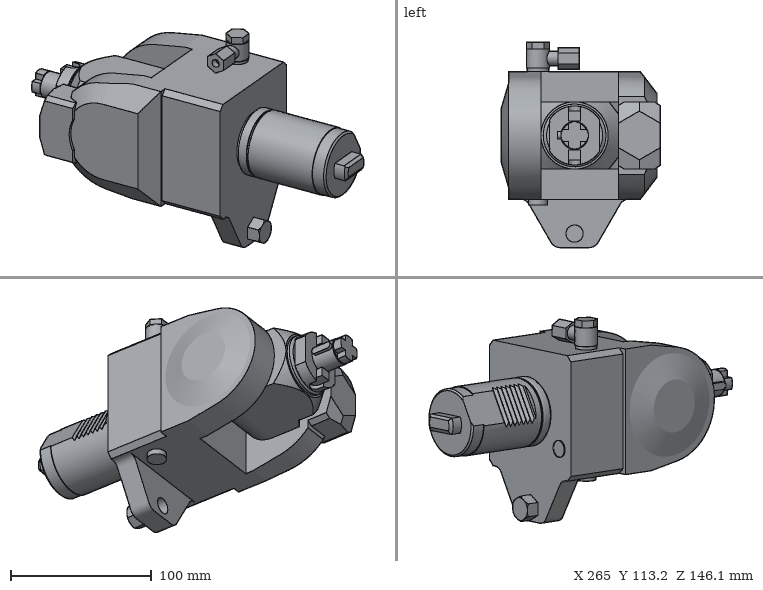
import cadquery as cq
import math


body_half_z = 45.3
body_y_plus = 44.3
body_y_minus = -45.0
body_length = 48.5
body_chamfer = 4.0

pivot_x = -89.9
fork_radius = 41.5
fork_slope = math.radians(10)
fork_y_plus = 47.0
fork_y_minus = -46.6

dome_y = 52.2
dome_base_radius = 37.0
dome_top_radius = 19.0

hood_y = -58.5
hood_flat_half_z = 29.7
hood_flat_end_x = -60.5
hood_cut_x = -120.9

head_front_x = -141.5
head_half_z = 23.9
head_y_plus = 23.9
head_y_minus = -31.0
head_overlap = 0.3
head_cone_slope = 0.9

knob_front_x = -141.0
knob_back_x = -113.5
knob_y_outer = -61.0
knob_chamfer_z = 2.7
knob_chamfer_y = 4.2
knob_face_slope = math.radians(20)
knob_seat_radius = 26.5

shank_radius = 25.0
fitting_x = -29.7
fitting_y = 26.0


def x_cylinder(radius, start, end):
    """Cylinder about the X axis between two x positions."""
    return cq.Workplane("YZ").workplane(offset=start).circle(radius).extrude(end - start)


def box(x_range, y_range, z_range):
    """Box given by its limits along each axis."""
    lows, highs = zip(x_range, y_range, z_range)
    size = [high - low for low, high in zip(lows, highs)]
    return cq.Workplane("XY").box(*size, centered=False).translate(lows)


def prism_along_y(outline, y_low, y_high):
    """Extrude a closed XZ outline between two y positions."""
    return outline.extrude(y_high - y_low).translate((0, y_high, 0))


def hexagon(workplane, corner_radius, first_angle):
    """Regular hexagon whose first corner lies at the given angle in degrees."""
    angles = [math.radians(first_angle + 60 * i) for i in range(6)]
    corners = [(corner_radius * math.cos(a), corner_radius * math.sin(a)) for a in angles]
    return workplane.polyline(corners).close()


def make_body():
    block = box((-body_length, 0), (body_y_minus, body_y_plus), (-body_half_z, body_half_z))
    return block.edges("|X").chamfer(body_chamfer)


def fork_outline():
    tangent_x = pivot_x - fork_radius * math.sin(fork_slope)
    tangent_z = fork_radius * math.cos(fork_slope)
    flat_x = tangent_x + (body_half_z - tangent_z) / math.tan(fork_slope)
    return (
        cq.Workplane("XZ")
        .moveTo(-body_length, -body_half_z)
        .lineTo(flat_x, -body_half_z)
        .lineTo(tangent_x, -tangent_z)
        .threePointArc((pivot_x - fork_radius, 0), (tangent_x, tangent_z))
        .lineTo(flat_x, body_half_z)
        .lineTo(-body_length, body_half_z)
        .close()
    )


def make_hood():
    depth = fork_y_minus - hood_y
    cone = (
        cq.Workplane("XZ", origin=(pivot_x, fork_y_minus, 0))
        .circle(body_half_z)
        .workplane(offset=depth)
        .circle(hood_flat_half_z)
        .loft()
    )
    base_length = -body_length - pivot_x
    top_length = hood_flat_end_x - pivot_x
    wedge = (
        cq.Workplane("XZ", origin=(pivot_x, fork_y_minus, 0))
        .center(base_length / 2, 0)
        .rect(base_length, 2 * body_half_z)
        .workplane(offset=depth)
        .center((top_length - base_length) / 2, 0)
        .rect(top_length, 2 * hood_flat_half_z)
        .loft()
    )
    front_half = box((pivot_x - fork_radius, pivot_x), (hood_y, fork_y_minus), (-body_half_z, body_half_z))
    envelope = prism_along_y(fork_outline(), hood_y, fork_y_minus)
    return cone.intersect(front_half).union(wedge).intersect(envelope)


def make_fork():
    fork = prism_along_y(fork_outline(), fork_y_minus, fork_y_plus).union(make_hood())
    pocket_wall_x = pivot_x + head_half_z - head_overlap
    pocket = box(
        (pivot_x - fork_radius, pocket_wall_x), (head_y_minus, head_y_plus), (-body_half_z, body_half_z)
    )
    knob_clearance = box(
        (pivot_x - fork_radius, hood_cut_x), (hood_y, head_y_minus), (-body_half_z, body_half_z)
    )
    dome = (
        cq.Workplane("XZ", origin=(pivot_x, fork_y_plus, 0))
        .circle(dome_base_radius)
        .workplane(offset=fork_y_plus - dome_y)
        .circle(dome_top_radius)
        .loft()
    )
    return fork.cut(pocket).cut(knob_clearance).union(dome)


def make_head():
    outline = (
        cq.Workplane("XZ")
        .moveTo(head_front_x, -head_half_z)
        .lineTo(pivot_x, -head_half_z)
        .threePointArc((pivot_x + head_half_z, 0), (pivot_x, head_half_z))
        .lineTo(head_front_x, head_half_z)
        .close()
    )
    head = prism_along_y(outline, head_y_minus, head_y_plus)
    cone_length = pivot_x + head_half_z - head_front_x
    cone = (
        cq.Workplane("YZ", origin=(head_front_x, 0, 0))
        .circle(head_half_z)
        .workplane(offset=cone_length)
        .circle(head_half_z + cone_length * head_cone_slope)
        .loft()
    )
    head = head.intersect(cone)
    bevel_y = -24.5
    bevel_z = 15.5
    bevel_end_x = -117.5
    bevel_end_run = 4.0
    extent = (
        cq.Workplane("XY", origin=(0, 0, -head_half_z))
        .polyline([
            (head_front_x, bevel_y),
            (bevel_end_x, bevel_y),
            (bevel_end_x + bevel_end_run, head_y_minus),
            (head_front_x, head_y_minus),
        ])
        .close()
        .extrude(2 * head_half_z)
    )
    for side in (1, -1):
        bevel = (
            cq.Workplane("YZ", origin=(head_front_x, 0, 0))
            .polyline([
                (bevel_y, side * head_half_z),
                (head_y_minus, side * head_half_z),
                (head_y_minus, side * bevel_z),
            ])
            .close()
            .extrude(pivot_x - head_front_x)
        )
        head = head.cut(bevel.intersect(extent))
    return head


def make_knob():
    knob = box((knob_front_x, knob_back_x), (knob_y_outer, head_y_minus), (-head_half_z, head_half_z))
    knob = knob.edges("|X").chamfer(knob_chamfer_z, knob_chamfer_y)
    flat_radius = (head_y_minus - knob_y_outer) / 2
    length = knob_back_x - knob_front_x
    front_corner = flat_radius / math.cos(math.radians(30))
    back_corner = front_corner + length / math.tan(knob_face_slope) / math.cos(math.radians(30))
    front = cq.Workplane("YZ", origin=(knob_front_x, head_y_minus - flat_radius, 0))
    frustum = hexagon(hexagon(front, front_corner, 90).workplane(offset=length), back_corner, 90).loft()
    seat = cq.Workplane("XZ", origin=(pivot_x, hood_y, 0)).circle(knob_seat_radius)
    return knob.intersect(frustum).cut(seat.extrude(hood_y - knob_y_outer))


def make_spindle():
    nose_front_x = -154.3
    nose_back_x = -145.0
    ring_split_x = -143.5
    nose_radius = 21.0
    nose_flat_y = 17.8
    cone_ring_radius = 20.0
    ring_radius = 22.3
    arbor_radius = 9.8
    arbor_chamfer = 0.5
    arbor_tip_x = -179.7
    cross_back_x = -172.8
    cross_arm_half = 4.2

    nose = x_cylinder(nose_radius, nose_front_x, nose_back_x)
    nose = nose.intersect(
        box((nose_front_x, nose_back_x), (-nose_flat_y, nose_flat_y), (-nose_radius, nose_radius))
    )
    cone_ring = (
        cq.Workplane("YZ", origin=(nose_back_x, 0, 0))
        .circle(cone_ring_radius)
        .workplane(offset=ring_split_x - nose_back_x)
        .circle(ring_radius)
        .loft()
    )
    spindle = nose.union(cone_ring)
    spindle = spindle.union(x_cylinder(ring_radius, ring_split_x, head_front_x))

    key_front_x = -159.0
    slot_end_x = -146.0
    key_half = 4.2
    key_z_low = 10.3
    key_z_high = 17.5
    for side in (1, -1):
        z_slot = sorted((side * key_z_high, side * nose_radius))
        z_key = sorted((side * key_z_low, side * key_z_high))
        slot_x = slot_end_x - key_half
        slot = box((nose_front_x, slot_x), (-key_half, key_half), z_slot)
        slot_round = cq.Workplane("XY", origin=(slot_x, 0, z_slot[0])).circle(key_half)
        spindle = spindle.cut(slot).cut(slot_round.extrude(nose_radius - key_z_high))
        spindle = spindle.union(box((key_front_x, nose_front_x), (-key_half, key_half), z_key))

    arbor = x_cylinder(arbor_radius, cross_back_x, nose_front_x).faces("<X").chamfer(arbor_chamfer)
    tip = x_cylinder(arbor_radius, arbor_tip_x, cross_back_x)
    for side_y in (1, -1):
        for side_z in (1, -1):
            notch = box(
                (arbor_tip_x, cross_back_x),
                sorted((side_y * cross_arm_half, side_y * arbor_radius)),
                sorted((side_z * cross_arm_half, side_z * arbor_radius)),
            )
            tip = tip.cut(notch)
    feather_start_x = -171.8
    feather_end_x = -155.5
    feather_top_y = 12.2
    feather_half = 2.7
    feather_mid_x = (feather_start_x + feather_end_x) / 2
    feather_key = (
        cq.Workplane("XZ", origin=(feather_mid_x, 0, 0))
        .slot2D(feather_end_x - feather_start_x, 2 * feather_half)
        .extrude(-feather_top_y)
    )
    return spindle.union(arbor).union(tip).union(feather_key)


def make_shank():
    neck_end_x = 2.7
    neck_radius = 22.5
    collar_end_x = 9.0
    barrel_x = 10.9
    barrel_end_x = 64.5
    tail_end_x = 75.0
    groove_radius = 23.5
    collar_chamfer_x = 2.0
    collar_chamfer_radial = 0.5
    tail_chamfer = 1.3
    tail_radius = 24.5

    shank = x_cylinder(neck_radius, 0, neck_end_x)
    collar = x_cylinder(shank_radius, neck_end_x, collar_end_x)
    shank = shank.union(collar.faces(">X").chamfer(collar_chamfer_x, collar_chamfer_radial))
    shank = shank.union(x_cylinder(groove_radius, collar_end_x, barrel_x))
    shank = shank.union(x_cylinder(shank_radius, barrel_x, barrel_end_x))
    shank = shank.union(x_cylinder(tail_radius, barrel_end_x, tail_end_x).faces(">X").chamfer(tail_chamfer))

    flat_tilt = 30
    flat_distance = shank_radius * math.cos(math.radians(flat_tilt))
    flat_start_x = 16.0
    first_tooth_x = 19.5
    tooth_pitch = 4.0
    tooth_depth = 1.9
    tooth_count = 7
    flat = box((flat_start_x, tail_end_x), (flat_distance, shank_radius), (-shank_radius, shank_radius))
    for i in range(tooth_count):
        centre_x = first_tooth_x + i * tooth_pitch
        groove = (
            cq.Workplane("XY", origin=(centre_x, flat_distance, -shank_radius))
            .polyline([(-tooth_pitch / 2, 0), (0, -tooth_depth), (tooth_pitch / 2, 0)])
            .close()
            .extrude(2 * shank_radius)
        )
        flat = flat.union(groove)
    shank = shank.cut(flat.rotate((0, 0, 0), (1, 0, 0), flat_tilt))

    tang_end_x = 85.3
    tang_radius = 12.7
    tang_half = 5.8
    tang_chamfer_x = 2.7
    tang_chamfer_side = 1.5
    tang = x_cylinder(tang_radius, tail_end_x, tang_end_x).intersect(
        box((tail_end_x, tang_end_x), (-tang_radius, tang_radius), (-tang_half, tang_half))
    )
    return shank.union(tang.faces(">X").chamfer(tang_chamfer_x, tang_chamfer_side))


def make_fitting():
    barrel_bottom_z = 47.7
    barrel_top_z = 61.2
    top_z = 66.3
    barrel_radius = 8.2
    neck_radius = 7.7
    outlet_radius = 5.3
    base = cq.Workplane("XY", origin=(fitting_x, fitting_y, 0))
    fitting = base.workplane(offset=body_half_z).circle(neck_radius).extrude(barrel_bottom_z - body_half_z)
    fitting = fitting.union(
        base.workplane(offset=barrel_bottom_z).circle(barrel_radius).extrude(barrel_top_z - barrel_bottom_z)
    )
    fitting = fitting.union(
        hexagon(base.workplane(offset=barrel_top_z), barrel_radius, 90).extrude(top_z - barrel_top_z)
    )

    outlet_z = 54.5
    nut_back_y = 11.7
    nut_front_y = -3.5
    nut_corner_radius = 7.7
    bore_radius = 3.0
    bore_depth = 5.3
    inner_bore_radius = 1.5
    inner_bore_depth = 10.5
    outlet = cq.Workplane("XZ", origin=(fitting_x, fitting_y, outlet_z)).circle(outlet_radius)
    fitting = fitting.union(outlet.extrude(fitting_y - nut_back_y))
    nut = hexagon(cq.Workplane("XZ", origin=(fitting_x, nut_back_y, outlet_z)), nut_corner_radius, 90)
    nut = nut.extrude(nut_back_y - nut_front_y)
    fitting = fitting.union(nut)
    for radius, depth in ((bore_radius, bore_depth), (inner_bore_radius, inner_bore_depth)):
        bore = cq.Workplane("XZ", origin=(fitting_x, nut_front_y + depth, outlet_z)).circle(radius)
        fitting = fitting.cut(bore.extrude(depth))
    return fitting


def make_plug():
    plug_height = 4.2
    plug_radius = 7.0
    plug = cq.Workplane("XY", origin=(fitting_x, fitting_y, -body_half_z)).circle(plug_radius)
    return plug.extrude(-plug_height)


def make_lug():
    thickness = 16.0
    bottom_z = -79.8
    root_half_y = 34.5
    slope = math.radians(30)
    tip_radius = 8.0
    root_radius = 7.0
    overlap = 5.3
    bottom_half_y = root_half_y - (-body_half_z - bottom_z) * math.tan(slope)
    lug = (
        cq.Workplane("YZ", origin=(-thickness, 0, 0))
        .polyline([
            (-root_half_y, -body_half_z),
            (-bottom_half_y, bottom_z),
            (bottom_half_y, bottom_z),
            (root_half_y, -body_half_z),
        ])
        .close()
        .extrude(thickness)
        .edges("|X and <Z")
        .fillet(tip_radius)
    )
    tangent = root_radius * math.tan(slope)
    mid_angle = math.radians(60)
    arc_y = root_half_y + tangent
    arc_z = -body_half_z - root_radius
    for side in (1, -1):
        corner = (
            cq.Workplane("YZ", origin=(-thickness, 0, 0))
            .moveTo(side * arc_y, -body_half_z)
            .threePointArc(
                (
                    side * (arc_y - root_radius * math.cos(mid_angle)),
                    arc_z + root_radius * math.sin(mid_angle),
                ),
                (
                    side * (root_half_y - tangent * math.sin(slope)),
                    -body_half_z - tangent * math.cos(slope),
                ),
            )
            .lineTo(side * (root_half_y - overlap), -body_half_z)
            .close()
            .extrude(thickness)
        )
        lug = lug.union(corner)

    screw_z = -69.7
    head_corner_radius = 9.3
    head_height = 9.8
    hole_radius = 6.0
    head_chamfer = 1.0
    screw_head = hexagon(cq.Workplane("YZ", origin=(0, 0, screw_z)), head_corner_radius, 90)
    screw_head = screw_head.extrude(head_height)
    rounding = (
        cq.Workplane("YZ", origin=(0, 0, screw_z))
        .circle(head_corner_radius)
        .extrude(head_height)
        .faces(">X")
        .chamfer(head_chamfer)
    )
    hole = cq.Workplane("YZ", origin=(-thickness, 0, screw_z)).circle(hole_radius).extrude(thickness)
    return lug.cut(hole).union(screw_head.intersect(rounding))


def make_seal_pad():
    pad_y = 31.8
    pad_z = -23.0
    pad_radius = 6.0
    pad_height = 0.8
    return cq.Workplane("YZ", origin=(0, pad_y, pad_z)).circle(pad_radius).extrude(pad_height)


result = make_body()
for feature in (
    make_fork(),
    make_head(),
    make_knob(),
    make_spindle(),
    make_shank(),
    make_seal_pad(),
    make_fitting(),
    make_plug(),
    make_lug(),
):
    result = result.union(feature)